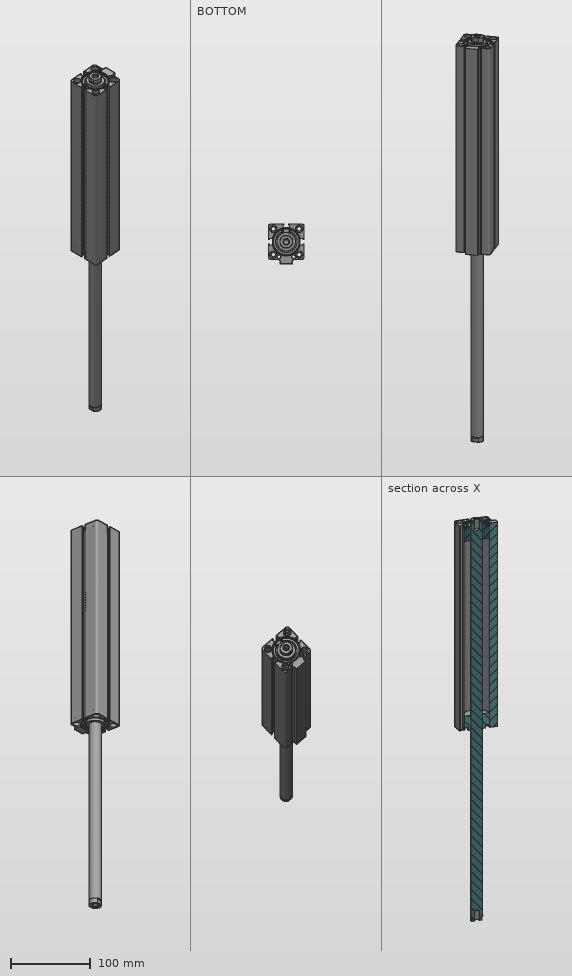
import cadquery as cq
import math


HOUSING_LENGTH = 275.5
HALF_WIDTH = 45.0 / 2
CORNER_RADIUS = 3.0
PORT_RIB_TOP = 50.0 - HALF_WIDTH
PORT_RIB_WIDTH = 15.5
PORT_RIB_FOOT = 1.5

SLOT_MOUTH = 5.5
SLOT_CAVITY_WIDTH = 8.0
SLOT_LIP = 1.5
SLOT_DEPTH = 5.0

GROOVE_X = 9.0
GROOVE_Y = 19.0
GROOVE_RADIUS = 2.0
GROOVE_MOUTH = 1.5

BORE_RADIUS = 16.0
RECESS_RADIUS = 18.0
RECESS_DEPTH = 1.5
SCREW_PITCH = 32.5
SCREW_HOLE_DIAMETER = 5.5
COUNTERBORE_DIAMETER = 9.0
COUNTERBORE_DEPTH = 7.0

RING_DEPTH = 2.5
RING_THICKNESS = 1.5
RING_OUTER_RADIUS = BORE_RADIUS + 0.5
RING_INNER_RADIUS = 13.5
RING_GAP = 7.0
LUG_WIDTH = 3.0
LUG_INNER_Y = 12.0
LUG_HOLE_DIAMETER = 1.5

COLLAR_LENGTH = 16.0
BOSS_RADIUS = 23.0 / 2
COLLAR_DEPTH = RING_DEPTH + RING_THICKNESS

ROD_RADIUS = 8.0
ROD_TOP = HOUSING_LENGTH + 7.0
ROD_LENGTH = 540.0
ROD_BOTTOM = ROD_TOP - ROD_LENGTH
TIP_RADIUS = 15.5 / 2
TIP_LENGTH = 6.5
FLAT_DISTANCE = 7.0
FLAT_LENGTH = 5.5
THREAD_RADIUS = 3.0
THREAD_DEPTH = 13.0
THREAD_CHAMFER = 0.8
DRILL_TIP_ANGLE = 118


def cylinder(radius, bottom, height):
    """A round bar on the rod axis."""
    return cq.Workplane("XY").workplane(offset=bottom).circle(radius).extrude(height)


def at_both_ends(body):
    """The body made for the top end, and its mirror image at the bottom end."""
    mirrored = body.mirror("XY", (0, 0, HOUSING_LENGTH / 2))
    return [body, mirrored]


def undercut_slot():
    """Cutter for the slot in the -Y side."""
    cavity_depth = SLOT_DEPTH - SLOT_LIP
    mouth = (
        cq.Workplane("XY")
        .center(0, -HALF_WIDTH + SLOT_DEPTH / 2)
        .rect(SLOT_MOUTH, SLOT_DEPTH)
        .extrude(HOUSING_LENGTH)
    )
    cavity = (
        cq.Workplane("XY")
        .center(0, -HALF_WIDTH + SLOT_LIP + cavity_depth / 2)
        .rect(SLOT_CAVITY_WIDTH, cavity_depth)
        .extrude(HOUSING_LENGTH)
    )
    return mouth.union(cavity)


def sensor_groove():
    """Cutter for the round groove at the +X foot of the port rib, open at the +Y side."""
    rib_foot = PORT_RIB_WIDTH / 2 + PORT_RIB_FOOT
    mouth = (
        cq.Workplane("XY")
        .moveTo(GROOVE_X, GROOVE_Y)
        .lineTo(rib_foot, HALF_WIDTH)
        .lineTo(rib_foot + GROOVE_MOUTH, HALF_WIDTH)
        .lineTo(GROOVE_X + GROOVE_MOUTH, GROOVE_Y)
        .close()
        .extrude(HOUSING_LENGTH)
    )
    cavity = (
        cq.Workplane("XY").center(GROOVE_X, GROOVE_Y).circle(GROOVE_RADIUS).extrude(HOUSING_LENGTH)
    )
    return mouth.union(cavity)


def port_rib():
    """Rib along the +Y side, with sloped feet."""
    half = PORT_RIB_WIDTH / 2
    foot = half + PORT_RIB_FOOT
    outline = [
        (-foot, HALF_WIDTH),
        (-half, HALF_WIDTH + PORT_RIB_FOOT),
        (-half, PORT_RIB_TOP),
        (half, PORT_RIB_TOP),
        (half, HALF_WIDTH + PORT_RIB_FOOT),
        (foot, HALF_WIDTH),
    ]
    return cq.Workplane("XY").polyline(outline).close().extrude(HOUSING_LENGTH)


def bore_mouth():
    """Cutter for the shallow recess and the ring groove at the top of the bore."""
    recess = cylinder(RECESS_RADIUS, HOUSING_LENGTH - RECESS_DEPTH, RECESS_DEPTH)
    ring_groove = cylinder(RING_OUTER_RADIUS, HOUSING_LENGTH - COLLAR_DEPTH, RING_THICKNESS)
    return recess.union(ring_groove)


def counterbores():
    """Cutters for the screw heads at the top end."""
    return (
        cq.Workplane("XY")
        .workplane(offset=HOUSING_LENGTH)
        .rect(SCREW_PITCH, SCREW_PITCH, forConstruction=True)
        .vertices()
        .circle(COUNTERBORE_DIAMETER / 2)
        .extrude(-COUNTERBORE_DEPTH)
    )


def make_housing():
    housing = (
        cq.Workplane("XY")
        .rect(2 * HALF_WIDTH, 2 * HALF_WIDTH)
        .extrude(HOUSING_LENGTH)
        .edges("|Z")
        .fillet(CORNER_RADIUS)
        .union(port_rib())
    )
    for angle in (-90, 0, 90):
        housing = housing.cut(undercut_slot().rotate((0, 0, 0), (0, 0, 1), angle))
    groove = sensor_groove()
    housing = housing.cut(groove).cut(groove.mirror("YZ"))

    housing = housing.cut(cylinder(BORE_RADIUS, 0, HOUSING_LENGTH))
    for cutter in at_both_ends(bore_mouth()):
        housing = housing.cut(cutter)

    screw_holes = (
        cq.Workplane("XY")
        .rect(SCREW_PITCH, SCREW_PITCH, forConstruction=True)
        .vertices()
        .circle(SCREW_HOLE_DIAMETER / 2)
        .extrude(HOUSING_LENGTH)
    )
    housing = housing.cut(screw_holes)
    for cutter in at_both_ends(counterbores()):
        housing = housing.cut(cutter)
    return housing


def make_collar():
    """Guide collar of the top end, its boss flush with the housing face."""
    bottom = HOUSING_LENGTH - COLLAR_DEPTH - COLLAR_LENGTH
    full_length = HOUSING_LENGTH - bottom
    collar = cylinder(BORE_RADIUS, bottom, COLLAR_LENGTH).union(cylinder(BOSS_RADIUS, bottom, full_length))
    return collar.cut(cylinder(ROD_RADIUS, bottom, full_length))


def make_ring():
    """Retaining ring of the top end, with its gap and two plier lugs on the -Y side."""
    bottom = HOUSING_LENGTH - COLLAR_DEPTH
    plane = cq.Workplane("XY").workplane(offset=bottom)
    ring = plane.circle(RING_OUTER_RADIUS).circle(RING_INNER_RADIUS).extrude(RING_THICKNESS)

    lug_outer_y = (RING_INNER_RADIUS + RING_OUTER_RADIUS) / 2
    lug_middle_y = (LUG_INNER_Y + lug_outer_y) / 2
    lug_x = (RING_GAP + LUG_WIDTH) / 2
    lug_places = [(-lug_x, -lug_middle_y), (lug_x, -lug_middle_y)]
    lugs = plane.pushPoints(lug_places).rect(LUG_WIDTH, lug_outer_y - LUG_INNER_Y).extrude(RING_THICKNESS)
    lug_holes = plane.pushPoints(lug_places).circle(LUG_HOLE_DIAMETER / 2).extrude(RING_THICKNESS)
    gap = plane.center(0, -RING_OUTER_RADIUS / 2).rect(RING_GAP, RING_OUTER_RADIUS).extrude(RING_THICKNESS)
    return ring.union(lugs).cut(lug_holes).cut(gap)


def threaded_hole():
    """Cutter for the chamfered, drill-pointed hole in the top end of the rod."""
    tip_length = THREAD_RADIUS / math.tan(math.radians(DRILL_TIP_ANGLE / 2))
    mouth_radius = THREAD_RADIUS + THREAD_CHAMFER
    half_section = [
        (0, ROD_TOP),
        (mouth_radius, ROD_TOP),
        (THREAD_RADIUS, ROD_TOP - THREAD_CHAMFER),
        (THREAD_RADIUS, ROD_TOP - THREAD_DEPTH),
        (0, ROD_TOP - THREAD_DEPTH - tip_length),
    ]
    return cq.Workplane("XZ").polyline(half_section).close().revolve(360, (0, 0), (0, 1))


def wrench_flats(bottom):
    """Cutter for the two flats facing -Y and +Y."""
    flat_depth = TIP_RADIUS - FLAT_DISTANCE
    flat_y = FLAT_DISTANCE + flat_depth / 2
    return (
        cq.Workplane("XY")
        .workplane(offset=bottom)
        .pushPoints([(0, -flat_y), (0, flat_y)])
        .rect(2 * TIP_RADIUS, flat_depth)
        .extrude(FLAT_LENGTH)
    )


def make_rod():
    shank = cylinder(ROD_RADIUS, ROD_BOTTOM + TIP_LENGTH, ROD_LENGTH - 2 * TIP_LENGTH)
    rod = cylinder(TIP_RADIUS, ROD_BOTTOM, ROD_LENGTH).union(shank)
    rod = rod.cut(wrench_flats(ROD_BOTTOM)).cut(wrench_flats(ROD_TOP - FLAT_LENGTH))
    hole = threaded_hole()
    rod_middle = (ROD_TOP + ROD_BOTTOM) / 2
    return rod.cut(hole).cut(hole.mirror("XY", (0, 0, rod_middle)))


housing = make_housing()
rod = make_rod()
collars = at_both_ends(make_collar())
rings = at_both_ends(make_ring())

result = cq.Compound.makeCompound(
    [
        housing.val(),
        rod.val(),
        *[collar.val() for collar in collars],
        *[ring.val() for ring in rings],
    ]
)